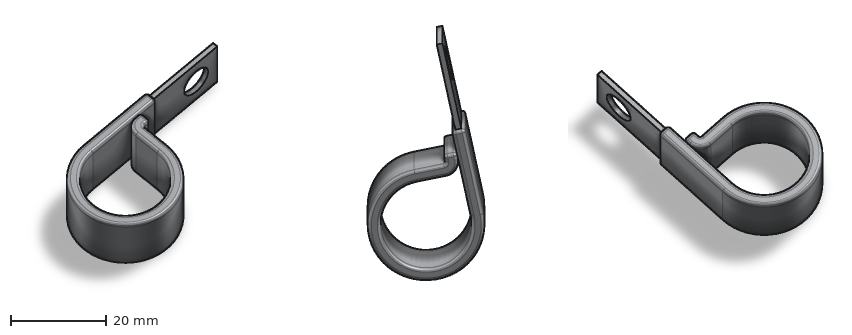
import cadquery as cq
import math

loop_outer_radius = 12.3
strap_thickness = 1.25
strap_width = 12.7
cushion_thickness = 0.75
strap_end_y = 38.1
cushion_end_y = 19.0
hole_diameter = 7.15
bend_center_x = -6.3
bend_inner_radius = 0.43
tail_length = 1.55

cushion_depth = strap_thickness + 2 * cushion_thickness
cushion_width = strap_width + 2 * cushion_thickness
loop_inner_radius = loop_outer_radius - cushion_depth
bend_outer_radius = bend_inner_radius + cushion_depth
bend_center_y = loop_outer_radius + bend_inner_radius
tail_end_y = bend_center_y + tail_length
strap_outer_x = -loop_outer_radius + cushion_thickness
hole_y = strap_end_y - strap_width / 2
diagonal = math.sqrt(0.5)


def make_cushioned_loop():
    """Straight leg, three-quarter loop and upturned tail, rounded on every outer edge."""
    bend_left_x = bend_center_x - bend_outer_radius
    bend_right_x = bend_center_x - bend_inner_radius
    outer_mid = loop_outer_radius * diagonal
    inner_mid = loop_inner_radius * diagonal
    bend_outer_mid = bend_outer_radius * diagonal
    bend_inner_mid = bend_inner_radius * diagonal

    body = (
        cq.Workplane("XY")
        .workplane(offset=-cushion_width / 2)
        .moveTo(-loop_outer_radius, cushion_end_y)
        .lineTo(-loop_outer_radius, 0)
        .threePointArc((outer_mid, -outer_mid), (0, loop_outer_radius))
        .lineTo(bend_center_x, loop_outer_radius)
        .threePointArc(
            (bend_center_x - bend_inner_mid, bend_center_y - bend_inner_mid),
            (bend_right_x, bend_center_y),
        )
        .lineTo(bend_right_x, tail_end_y)
        .lineTo(bend_left_x, tail_end_y)
        .lineTo(bend_left_x, bend_center_y)
        .threePointArc(
            (bend_center_x - bend_outer_mid, bend_center_y - bend_outer_mid),
            (bend_center_x, loop_inner_radius),
        )
        .lineTo(0, loop_inner_radius)
        .threePointArc((inner_mid, -inner_mid), (-loop_inner_radius, 0))
        .lineTo(-loop_inner_radius, cushion_end_y)
        .close()
        .extrude(cushion_width)
    )
    rim_edges = body.faces("|Z").edges()
    tail_end_edges = body.faces(cq.selectors.NearestToPointSelector(
        (bend_center_x - bend_inner_radius - cushion_depth / 2, tail_end_y, 0)
    )).edges()
    end_edges = body.faces(">Y").edges()
    rounded_edges = rim_edges.add(end_edges).add(tail_end_edges)
    return body.newObject(rounded_edges.vals()).fillet(cushion_thickness)


def make_mounting_tab():
    """Bare strap that leaves the cushion, with the mounting hole across it."""
    tab = cq.Workplane("XY").box(
        strap_thickness, strap_end_y, strap_width, centered=(False, False, True)
    ).translate((strap_outer_x, 0, 0))
    hole = (
        cq.Workplane("YZ", origin=(strap_outer_x, hole_y, 0))
        .circle(hole_diameter / 2)
        .extrude(strap_thickness)
    )
    return tab.cut(hole)


result = make_cushioned_loop().union(make_mounting_tab())